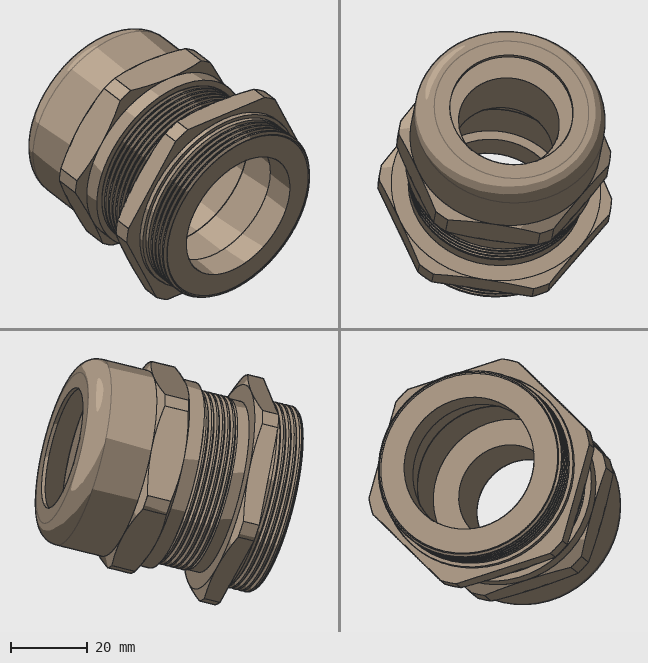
import cadquery as cq
import math

ROLL = 8.3
PITCH = 17.8
YAW = 22.1

PITCH_LENGTH = 1.5
THREAD_DEPTH = 0.9
HALF_GROOVE_ANGLE = math.radians(30)

NUT_FACE = -30.35
NUT_END = 0.15
SEAL_FACE = -23.15
SEAL_END = -6.55
SLEEVE_FRONT = -22.4
THREAD_START = -13.1
FLANGE_FRONT = 13.25
FLANGE_BACK = 18.7
BODY_END = 27.75

NUT_DIA = 50.0
NUT_ROUNDING = 4.7
NUT_OPENING_DIA = 32.3
NUT_LIP = 1.0
NUT_HEX_DIA = 55.6
NUT_HEX_FLATS = NUT_DIA
NUT_HEX_START = -13.0
NUT_HEX_END = -3.9
NUT_HEX_BEVEL = 1.3

SEAL_DIA = 40.3
SEAL_BORE_DIA = 26.4

SLEEVE_DIA = 45.35
FRONT_THREAD_DIA = 46.7
FRONT_GROOVES = 7
LAST_FRONT_GROOVE = 9.75
NECK_DIA = 46.0
FLANGE_DIA = 61.0
FLANGE_FLATS = 55.0
FLANGE_BEVEL = 1.1
REAR_THREAD_DIA = 50.0
REAR_GROOVES = 5
FIRST_REAR_GROOVE = 21.55
CHAMBER_DIA = 40.5
CHAMBER_START = 7.65
CHAMBER_END = 19.8
OUTLET_DIA = 35.45

GASKET_DIA = 52.0
GASKET_THICKNESS = 1.25


def turned(points):
    """Solid of revolution about X from a closed outline of (x, radius) points."""
    return cq.Workplane("XY").polyline(points).close().revolve(360, (0, 0, 0), (1, 0, 0))


def cylinder(start, end, diameter):
    radius = diameter / 2
    return turned([(start, 0), (start, radius), (end, radius), (end, 0)])


def hexagon(start, end, flats):
    """Hexagonal prism along X with one corner towards +Y."""
    corner_dia = flats / math.cos(math.pi / 6)
    return cq.Workplane("YZ", origin=(start, 0, 0)).polygon(6, corner_dia).extrude(end - start)


def thread_groove(center, crest_dia):
    """Ring to cut away: one V groove, open slightly beyond the crest."""
    clearance = 0.15
    crest = crest_dia / 2
    root = crest - THREAD_DEPTH
    half_top = (THREAD_DEPTH + clearance) * math.tan(HALF_GROOVE_ANGLE)
    return turned([
        (center, root),
        (center - half_top, crest + clearance),
        (center + half_top, crest + clearance),
    ])


def make_cap_nut():
    barrel = cylinder(NUT_FACE, NUT_END, NUT_DIA).faces("<X").edges().fillet(NUT_ROUNDING)

    flat_radius = NUT_HEX_FLATS / 2
    corner_radius = NUT_HEX_DIA / 2
    corner_limit = turned([
        (NUT_HEX_START, 0),
        (NUT_HEX_START, flat_radius),
        (NUT_HEX_START + NUT_HEX_BEVEL, corner_radius),
        (NUT_HEX_END - NUT_HEX_BEVEL, corner_radius),
        (NUT_HEX_END, flat_radius),
        (NUT_HEX_END, 0),
    ])
    grip = hexagon(NUT_HEX_START, NUT_HEX_END, NUT_HEX_FLATS).intersect(corner_limit)

    opening_radius = NUT_OPENING_DIA / 2
    sleeve_radius = SLEEVE_DIA / 2
    thread_radius = FRONT_THREAD_DIA / 2
    cavity = turned([
        (NUT_FACE, 0),
        (NUT_FACE, opening_radius),
        (NUT_FACE + NUT_LIP, opening_radius),
        (SLEEVE_FRONT, sleeve_radius),
        (THREAD_START, sleeve_radius),
        (THREAD_START, thread_radius),
        (NUT_END, thread_radius),
        (NUT_END, 0),
    ])
    return barrel.union(grip).cut(cavity)


def make_seal():
    return cylinder(SEAL_FACE, SEAL_END, SEAL_DIA).cut(cylinder(SEAL_FACE, SEAL_END, SEAL_BORE_DIA))


def make_flange():
    flat_radius = FLANGE_FLATS / 2
    corner_radius = FLANGE_DIA / 2
    corner_limit = turned([
        (FLANGE_FRONT, 0),
        (FLANGE_FRONT, flat_radius),
        (FLANGE_FRONT + FLANGE_BEVEL, corner_radius),
        (FLANGE_BACK, corner_radius),
        (FLANGE_BACK, 0),
    ])
    return hexagon(FLANGE_FRONT, FLANGE_BACK, FLANGE_FLATS).intersect(corner_limit)


def make_body():
    body = cylinder(SLEEVE_FRONT, THREAD_START, SLEEVE_DIA)
    body = body.union(cylinder(THREAD_START, LAST_FRONT_GROOVE, FRONT_THREAD_DIA))
    body = body.union(cylinder(LAST_FRONT_GROOVE, FLANGE_FRONT, NECK_DIA))
    body = body.union(make_flange())
    body = body.union(cylinder(FLANGE_BACK, BODY_END, REAR_THREAD_DIA))

    for i in range(FRONT_GROOVES):
        body = body.cut(thread_groove(LAST_FRONT_GROOVE - i * PITCH_LENGTH, FRONT_THREAD_DIA))
    for i in range(REAR_GROOVES):
        body = body.cut(thread_groove(FIRST_REAR_GROOVE + i * PITCH_LENGTH, REAR_THREAD_DIA))

    body = body.cut(cylinder(SLEEVE_FRONT, CHAMBER_START, SEAL_DIA))
    body = body.cut(cylinder(CHAMBER_START, CHAMBER_END, CHAMBER_DIA))
    return body.cut(cylinder(CHAMBER_END, BODY_END, OUTLET_DIA))


def make_gasket():
    gasket_end = FLANGE_BACK + GASKET_THICKNESS
    ring = cylinder(FLANGE_BACK, gasket_end, GASKET_DIA)
    return ring.cut(cylinder(FLANGE_BACK, gasket_end, REAR_THREAD_DIA))


def placed(part):
    """Turn a part from the X axis into the gland's tilted position."""
    origin = (0, 0, 0)
    part = part.rotate(origin, (1, 0, 0), ROLL)
    part = part.rotate(origin, (0, 1, 0), PITCH)
    return part.rotate(origin, (0, 0, 1), YAW)


cap_nut = placed(make_cap_nut())
seal = placed(make_seal())
body = placed(make_body())
gasket = placed(make_gasket())

bodies = [cap_nut, seal, body, gasket]
result = cq.Compound.makeCompound([part.solids().val() for part in bodies])